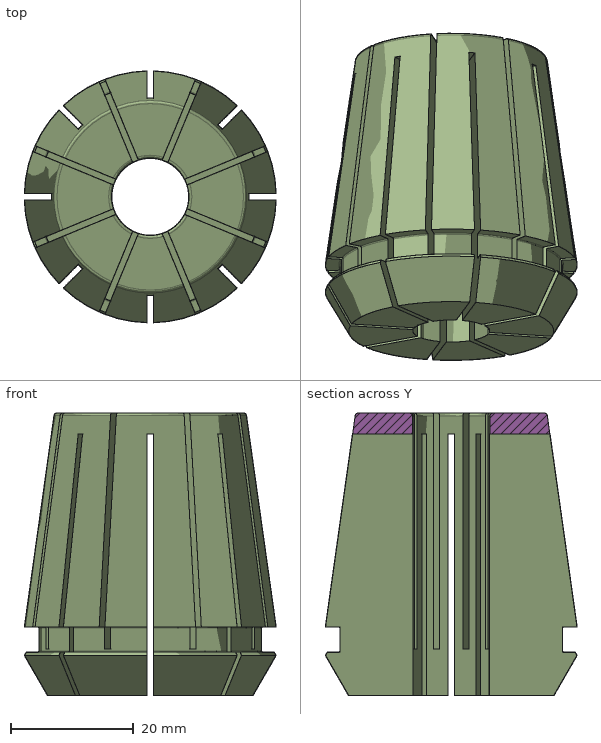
import cadquery as cq
import math

height = 46.0
max_diameter = 41.0
max_radius = max_diameter / 2
bore_radius = 12.5 / 2

taper_angle = 8.0
taper_bottom_z = 11.2
top_radius = max_radius - (height - taper_bottom_z) * math.tan(math.radians(taper_angle))

groove_radius = 18.12
groove_bottom_z = 7.1
nose_angle = 30.0
nose_top_z = 6.6
nose_bottom_radius = max_radius - nose_top_z * math.tan(math.radians(nose_angle))

top_edge_fillet = 0.5
collar_edge_break = 0.3
groove_root_fillet = 0.2

slits_per_set = 8
slit_pitch = 360.0 / slits_per_set
slit_width = 1.0
bottom_slit_top_z = 42.55
top_slit_bottom_z = 7.65


def collet_body():
    """Revolved body with taper, extraction groove, nose cone and bore."""
    profile = (
        cq.Workplane("XZ")
        .moveTo(bore_radius, 0)
        .lineTo(nose_bottom_radius, 0)
        .lineTo(max_radius, nose_top_z)
        .lineTo(max_radius - collar_edge_break, groove_bottom_z)
        .lineTo(groove_radius + groove_root_fillet, groove_bottom_z)
        .tangentArcPoint((-groove_root_fillet, groove_root_fillet))
        .lineTo(groove_radius, taper_bottom_z - groove_root_fillet)
        .tangentArcPoint((groove_root_fillet, groove_root_fillet))
        .lineTo(max_radius, taper_bottom_z)
        .lineTo(top_radius, height)
        .lineTo(bore_radius, height)
        .close()
    )
    body = profile.revolve(360, (0, 0, 0), (0, 1, 0))
    return body.faces(">Z").edges().fillet(top_edge_fillet)


def slit_set(bottom_z, top_z, first_angle):
    """Radial cutters reaching outward from the axis, evenly spaced around it."""
    cutters = cq.Workplane("XY")
    for index in range(slits_per_set):
        cutter = (
            cq.Workplane("XY")
            .workplane(offset=bottom_z)
            .rect(max_diameter, slit_width)
            .extrude(top_z - bottom_z)
            .translate((max_radius, 0, 0))
            .rotate((0, 0, 0), (0, 0, 1), first_angle + index * slit_pitch)
        )
        cutters = cutters.add(cutter)
    return cutters.combine()


bottom_slits = slit_set(0, bottom_slit_top_z, 0)
top_slits = slit_set(top_slit_bottom_z, height, slit_pitch / 2)

result = collet_body().cut(bottom_slits).cut(top_slits)